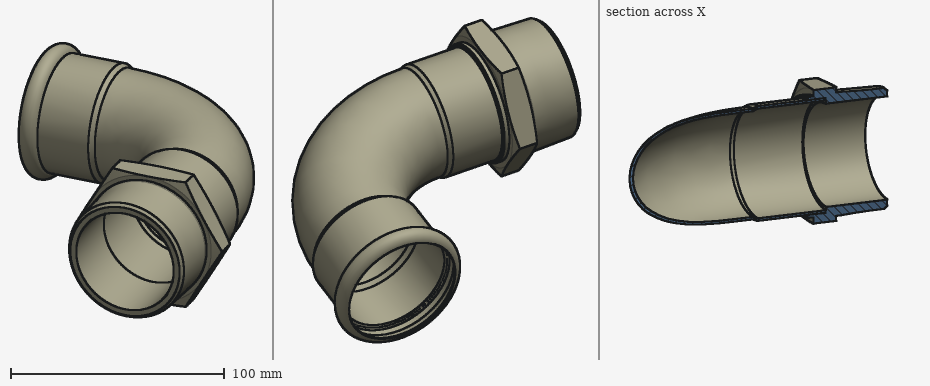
import cadquery as cq
import math

INLET_END_X = -100.0
OUTLET_END_Y = -131.2

BEND_RADIUS = 61.7
TUBE_DIAMETER = 54.0
WALL = 1.5

SOCKET_DIAMETER = 57.5
BEAD_DIAMETER = 65.0
BEAD_RADIUS = 4.9
LIP_DIAMETER = 56.0
SOCKET_FLARE = 2.6
GROOVE_DIAMETER = 59.0
LIP_DEPTH = 0.8
GROOVE_FLOOR_START = 4.9
GROOVE_FLOOR_END = 8.7
GROOVE_END = 9.8

SLEEVE_DIAMETER = 56.0
SLEEVE_FLARE = 2.5

FITTING_LENGTH = 41.3
FITTING_BORE = 50.0
SEAT_DEPTH = 31.8
TIP_DIAMETER = 56.0
TIP_CHAMFER = 1.8
THREAD_END_DIAMETER = 59.0
THREAD_DIAMETER = 60.3
THREAD_TOP = 24.7
HEX_START = 26.4
HEX_HEIGHT = 11.8
HEX_FLATS = 65.0
HEX_CHAMFER_ANGLE = 15.0
COLLAR_DIAMETER = 59.0
COLLAR_CHAMFER = 0.7


def bend_path():
    """Quarter circle joining the two straight ends."""
    mid = BEND_RADIUS * (math.sqrt(0.5) - 1)
    return (
        cq.Workplane("XY")
        .moveTo(-BEND_RADIUS, 0)
        .threePointArc((mid, mid), (0, -BEND_RADIUS))
    )


def make_bend():
    """Hollow quarter bend of constant wall."""
    return (
        cq.Workplane("YZ", origin=(-BEND_RADIUS, 0, 0))
        .circle(TUBE_DIAMETER / 2)
        .circle(TUBE_DIAMETER / 2 - WALL)
        .sweep(bend_path())
    )


def make_socket():
    """Inlet socket with a hollow rounded bead, turned about the X axis."""
    tube_r = TUBE_DIAMETER / 2
    socket_r = SOCKET_DIAMETER / 2
    bead_x = INLET_END_X + BEAD_RADIUS
    bead_r = BEAD_DIAMETER / 2 - BEAD_RADIUS
    lip_r = LIP_DIAMETER / 2
    groove_r = GROOVE_DIAMETER / 2
    socket_bore_r = socket_r - WALL
    flare_x = -BEND_RADIUS - SOCKET_FLARE

    def bead_half_width(level):
        """Axial half width of the bead section at a distance from the axis."""
        return math.sqrt(BEAD_RADIUS**2 - (level - bead_r) ** 2)

    return (
        cq.Workplane("XY")
        .moveTo(-BEND_RADIUS, tube_r)
        .lineTo(flare_x, socket_r)
        .lineTo(bead_x + bead_half_width(socket_r), socket_r)
        .threePointArc((bead_x, bead_r + BEAD_RADIUS), (bead_x - bead_half_width(lip_r), lip_r))
        .lineTo(INLET_END_X + LIP_DEPTH, lip_r)
        .lineTo(INLET_END_X + GROOVE_FLOOR_START, groove_r)
        .lineTo(INLET_END_X + GROOVE_FLOOR_END, groove_r)
        .lineTo(INLET_END_X + GROOVE_END, socket_bore_r)
        .lineTo(flare_x, socket_bore_r)
        .lineTo(-BEND_RADIUS, tube_r - WALL)
        .close()
        .revolve(360, (0, 0, 0), (1, 0, 0))
    )


def make_sleeve():
    """Widened straight end that seats in the fitting, turned about the Y axis."""
    tube_r = TUBE_DIAMETER / 2
    sleeve_r = SLEEVE_DIAMETER / 2
    flare_y = -BEND_RADIUS - SLEEVE_FLARE
    end_y = OUTLET_END_Y + SEAT_DEPTH
    return (
        cq.Workplane("XY")
        .moveTo(tube_r, -BEND_RADIUS)
        .lineTo(sleeve_r, flare_y)
        .lineTo(sleeve_r, end_y)
        .lineTo(sleeve_r - WALL, end_y)
        .lineTo(sleeve_r - WALL, flare_y)
        .lineTo(tube_r - WALL, -BEND_RADIUS)
        .close()
        .revolve(360, (0, 0, 0), (0, 1, 0))
    )


def make_elbow():
    """Bent tube with its press socket and sleeve as one solid."""
    return make_bend().union(make_socket()).union(make_sleeve())


def make_hexagon():
    """Hexagon with chamfered corners on both faces; two corners lie along X."""
    corner_r = HEX_FLATS / 2 / math.cos(math.radians(30))
    flat_r = HEX_FLATS / 2
    drop = (corner_r - flat_r) * math.tan(math.radians(HEX_CHAMFER_ANGLE))
    start_y = OUTLET_END_Y + HEX_START
    end_y = start_y + HEX_HEIGHT
    prism = (
        cq.Workplane("XZ", origin=(0, end_y, 0))
        .polygon(6, 2 * corner_r)
        .extrude(HEX_HEIGHT)
    )
    envelope = (
        cq.Workplane("XY")
        .moveTo(0, start_y)
        .lineTo(flat_r, start_y)
        .lineTo(corner_r, start_y + drop)
        .lineTo(corner_r, end_y - drop)
        .lineTo(flat_r, end_y)
        .lineTo(0, end_y)
        .close()
        .revolve(360, (0, 0, 0), (0, 1, 0))
    )
    return prism.intersect(envelope)


def make_fitting():
    """Male threaded end with a tapered thread, a hexagon, a collar and a recess for the sleeve."""
    hex_middle_y = OUTLET_END_Y + HEX_START + HEX_HEIGHT / 2
    end_y = OUTLET_END_Y + FITTING_LENGTH
    turned = (
        cq.Workplane("XY")
        .moveTo(0, OUTLET_END_Y)
        .lineTo(TIP_DIAMETER / 2, OUTLET_END_Y)
        .lineTo(THREAD_END_DIAMETER / 2, OUTLET_END_Y + TIP_CHAMFER)
        .lineTo(THREAD_DIAMETER / 2, OUTLET_END_Y + THREAD_TOP)
        .lineTo(THREAD_DIAMETER / 2, hex_middle_y)
        .lineTo(COLLAR_DIAMETER / 2, hex_middle_y)
        .lineTo(COLLAR_DIAMETER / 2, end_y - COLLAR_CHAMFER)
        .lineTo(COLLAR_DIAMETER / 2 - COLLAR_CHAMFER, end_y)
        .lineTo(0, end_y)
        .close()
        .revolve(360, (0, 0, 0), (0, 1, 0))
    )
    bore = (
        cq.Workplane("XZ", origin=(0, end_y, 0))
        .circle(FITTING_BORE / 2)
        .extrude(FITTING_LENGTH)
    )
    seat = (
        cq.Workplane("XZ", origin=(0, end_y, 0))
        .circle(SLEEVE_DIAMETER / 2)
        .extrude(FITTING_LENGTH - SEAT_DEPTH)
    )
    return turned.union(make_hexagon()).cut(bore).cut(seat)


elbow = make_elbow()
fitting = make_fitting()

result = cq.Compound.makeCompound([elbow.val(), fitting.val()])